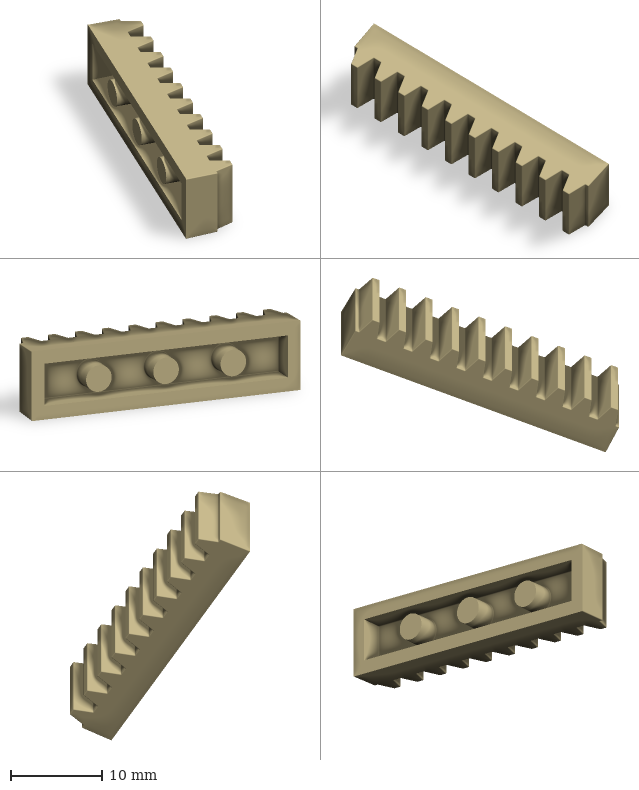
import cadquery as cq
import math

length = 32.0
height = 7.95
total_depth = 5.82
draft_angle = 1.0
edge_radius = 0.1

tooth_count = 10
tooth_pitch = length / tooth_count
tooth_height = 2.1
tip_width = 0.85
root_width = 2.2

end_wall = 1.5
side_wall = 1.57
pocket_length = length - 2 * end_wall
pocket_height = height - 2 * side_wall
pocket_depth = 2.55

pin_count = 3
pin_spacing = length / 4
pin_diameter = 3.05

body_depth = total_depth - tooth_height
draft_slope = math.tan(math.radians(draft_angle))


def drafted_block(block_length, block_height, depth):
    """Rectangular block on the plane y = 0, narrowing towards +Y."""
    profile = cq.Workplane("XZ").rect(block_length, block_height)
    return profile.extrude(-depth, taper=draft_angle)


def toothed_prism():
    """Body and teeth outlined in XY; the ends lean in with the draft."""
    root_half_length = length / 2 - body_depth * draft_slope
    points = [(length / 2, 0), (-length / 2, 0), (-root_half_length, body_depth)]
    for index in range(tooth_count):
        center = (index - (tooth_count - 1) / 2) * tooth_pitch
        points += [
            (center - root_width / 2, body_depth),
            (center - tip_width / 2, total_depth),
            (center + tip_width / 2, total_depth),
            (center + root_width / 2, body_depth),
        ]
    points.append((root_half_length, body_depth))
    return cq.Workplane("XY").polyline(points).close().extrude(height / 2, both=True)


def rack():
    """Drafted rack with every edge rounded except the rim of the flat -Y face."""
    sharp_rack = toothed_prism().intersect(drafted_block(length, height, total_depth))
    return sharp_rack.edges("not <Y").fillet(edge_radius)


def pins():
    """Row of pins that widen towards the pocket floor."""
    centers = cq.Workplane("XZ").rarray(pin_spacing, 0.32, pin_count, 1)
    return centers.circle(pin_diameter / 2).extrude(-pocket_depth, taper=-draft_angle)


def pocket():
    """Empty space around the pins, rounded where walls and pins meet the floor."""
    space = drafted_block(pocket_length, pocket_height, pocket_depth).cut(pins())
    return space.faces(">Y").edges().fillet(edge_radius)


result = rack().cut(pocket())